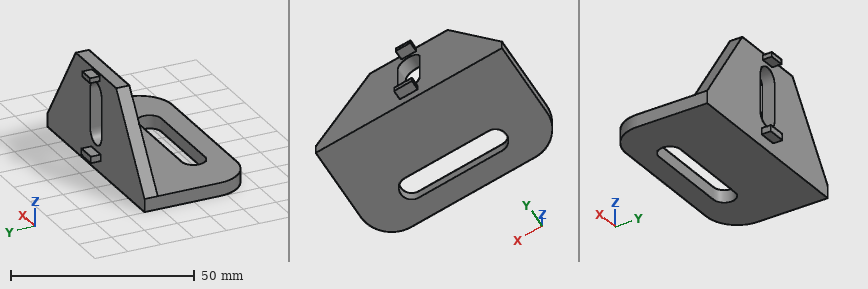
import cadquery as cq

length = 60.0
base_depth = 33.0
height = 30.0
thickness = 4.0
corner_radius = 10.0
wall_top_width = 25.0

slot_width = 7.0
base_slot_length = 34.0
base_slot_from_front = 10.0
wall_slot_length = 19.0
wall_slot_bottom = 7.5

tab_projection = 3.0
upper_tab_width = 4.8
upper_tab_bottom = 27.8
upper_tab_height = 1.5
lower_tab_width = 5.75
lower_tab_bottom = 3.8
lower_tab_height = 2.0



def make_base():
    """Flat plate with rounded front corners and a slot along X."""
    plate = cq.Workplane("XY").box(length, base_depth, thickness, centered=(True, False, False))
    plate = plate.translate((0, -base_depth, 0))
    plate = plate.edges("|Z and <Y").fillet(corner_radius)
    slot = (
        cq.Workplane("XY")
        .center(0, base_slot_from_front - base_depth)
        .slot2D(base_slot_length, slot_width)
        .extrude(thickness)
    )
    return plate.cut(slot)


def make_wall():
    """Upright trapezoid with a vertical slot."""
    wall = (
        cq.Workplane("XZ")
        .moveTo(-length / 2, thickness)
        .lineTo(length / 2, thickness)
        .lineTo(wall_top_width / 2, height)
        .lineTo(-wall_top_width / 2, height)
        .close()
        .extrude(thickness)
    )
    slot = (
        cq.Workplane("XZ")
        .center(0, wall_slot_bottom + wall_slot_length / 2)
        .slot2D(wall_slot_length, slot_width, 90)
        .extrude(thickness)
    )
    return wall.cut(slot)


def make_tab(width, bottom, tab_height):
    """Rectangular tab standing out from the back face of the wall."""
    tab = cq.Workplane("XY").box(width, tab_projection, tab_height, centered=(True, False, False))
    return tab.translate((0, 0, bottom))


upper_tab = make_tab(upper_tab_width, upper_tab_bottom, upper_tab_height)
lower_tab = make_tab(lower_tab_width, lower_tab_bottom, lower_tab_height)
result = make_base().union(make_wall()).union(upper_tab).union(lower_tab)